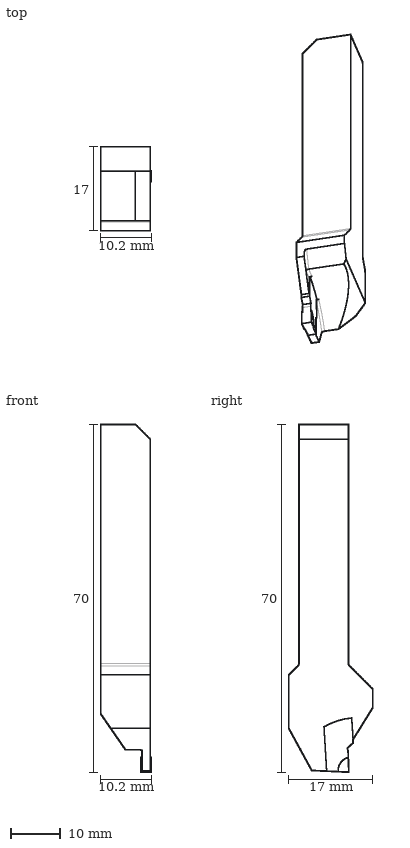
import cadquery as cq

LENGTH = 70.0
THICKNESS = 10.0
HEAD_DEPTH = 16.95

SHANK_FRONT = 2.0
SHANK_BACK = SHANK_FRONT + THICKNESS
SHANK_BOTTOM = 21.6
SHANK_CHAMFER = 3.0
SHOULDER_FILLET = 0.6

SHOULDER_FRONT_Z = SHANK_BOTTOM - SHANK_FRONT
SHOULDER_BACK_Z = SHANK_BOTTOM - (HEAD_DEPTH - SHANK_BACK)
FRONT_SLOPE_TOP = 8.8
BACK_SLOPE_TOP = 13.0
BLADE_TOE = (4.6, 0.35)
BLADE_HEEL = (12.95, 6.6)

UNDERSIDE_TOP = 11.75
UNDERSIDE_RUN = 7.1
UNDERSIDE_DROP = 10.3

BLADE_FACE_X = 8.4
WALL_RADIUS = 13.6
WALL_CENTRE = (13.9, -2.6)
WALL_FILLET = 0.5

BACK_STEP_TOP = (HEAD_DEPTH, 14.7)
BACK_STEP_BOTTOM = (15.2, 10.85)

INSERT_FACE_X = 8.25
SEAT_BACK = (12.6, 11.9)
SEAT_FRONT = (6.9, 11.9)
INSERT_TOE = (7.6, 0.2)
INSERT_TIP = (12.1, 0.0)
INSERT_FLANK = (12.0, 4.1)
INSERT_NOTCH = (11.8, 4.9)
INSERT_STEP = (12.95, 5.9)
PAD_HEIGHT = 0.15
PAD_WIDTH = 2.2
PAD_LENGTH = 3.0
PAD_ARC_POINT = (10.9, 2.45)


def prism_along_x(points, x_start, x_end):
    """Extrude a closed (Y, Z) outline from x_start to x_end."""
    plane = cq.Workplane("YZ", origin=(x_start, 0, 0))
    return plane.polyline(points).close().extrude(x_end - x_start)


def wall_cylinder(x_end):
    """Cylinder along X, from the -X face to x_end, bounded by the curved wall."""
    return cq.Workplane("YZ").center(*WALL_CENTRE).circle(WALL_RADIUS).extrude(x_end)


def tool_blank():
    """Shank, head and blade profile at full thickness."""
    blank = prism_along_x(
        [
            (SHANK_FRONT, LENGTH),
            (SHANK_FRONT, SHANK_BOTTOM),
            (0, SHOULDER_FRONT_Z),
            (0, FRONT_SLOPE_TOP),
            BLADE_TOE,
            INSERT_TOE,
            BLADE_HEEL,
            (HEAD_DEPTH, BACK_SLOPE_TOP),
            (HEAD_DEPTH, SHOULDER_BACK_Z),
            (SHANK_BACK, SHANK_BOTTOM),
            (SHANK_BACK, LENGTH),
        ],
        0,
        THICKNESS,
    )
    for y in (SHANK_FRONT, SHANK_BACK):
        corner = cq.selectors.NearestToPointSelector((THICKNESS / 2, y, SHANK_BOTTOM))
        blank = blank.edges(corner).fillet(SHOULDER_FILLET)
    return blank.faces(">Z").edges(">X").chamfer(SHANK_CHAMFER)


def underside_cutter():
    """Wedge of material removed below the sloping underside of the head."""
    slope = UNDERSIDE_DROP / UNDERSIDE_RUN
    wedge_run = UNDERSIDE_TOP / slope
    return (
        cq.Workplane("XZ")
        .polyline([(0, UNDERSIDE_TOP), (wedge_run, 0), (0, 0)])
        .close()
        .extrude(-HEAD_DEPTH)
    )


def blade_relief():
    """Material removed beside the blade, with a rounded root at the blade face."""
    return wall_cylinder(BLADE_FACE_X).faces(">X").edges().fillet(WALL_FILLET)


def back_step_relief():
    """Straight continuation of the wall, from the curved wall to the back face."""
    step_y, step_z = BACK_STEP_TOP
    run = step_y - BACK_STEP_BOTTOM[0]
    rise = step_z - BACK_STEP_BOTTOM[1]
    upper_end = (step_y + run / 2, step_z + rise / 2)
    lower_end = (BACK_STEP_BOTTOM[0] - run / 2, BACK_STEP_BOTTOM[1] - rise / 2)
    outer_corner = (upper_end[0], lower_end[1])
    cutter = prism_along_x([upper_end, lower_end, outer_corner], 0, BLADE_FACE_X)
    root_point = (BLADE_FACE_X, step_y - run / 2, step_z - rise / 2)
    root = cq.selectors.NearestToPointSelector(root_point)
    return cutter.edges(root).fillet(WALL_FILLET)


def insert_plate():
    """Insert ending at the curved wall, flush with the +X face of the blade."""
    outline = [
        SEAT_BACK,
        BLADE_HEEL,
        INSERT_STEP,
        INSERT_NOTCH,
        INSERT_FLANK,
        INSERT_TIP,
        INSERT_TOE,
        SEAT_FRONT,
    ]
    plate = prism_along_x(outline, INSERT_FACE_X, THICKNESS)
    return plate.intersect(wall_cylinder(THICKNESS))


def insert_seat():
    """Pocket through the blade and its root fillet that receives the insert."""
    outline = [SEAT_BACK, BLADE_HEEL, INSERT_TOE, SEAT_FRONT]
    pocket = prism_along_x(outline, BLADE_FACE_X - WALL_FILLET, THICKNESS)
    return pocket.intersect(wall_cylinder(THICKNESS))


def corner_pad(x_start, x_end):
    """Rounded full-width corner that makes the cutting tip wider than the insert."""
    tip_y, tip_z = INSERT_TIP
    bottom_slope = (INSERT_TOE[1] - tip_z) / (tip_y - INSERT_TOE[0])
    flank_slope = (tip_y - INSERT_FLANK[0]) / (INSERT_FLANK[1] - tip_z)
    pad_bottom = (tip_y - PAD_WIDTH, tip_z + PAD_WIDTH * bottom_slope)
    pad_top = (tip_y - PAD_LENGTH * flank_slope, tip_z + PAD_LENGTH)
    return (
        cq.Workplane("YZ", origin=(x_start, 0, 0))
        .moveTo(*INSERT_TIP)
        .lineTo(*pad_bottom)
        .threePointArc(PAD_ARC_POINT, pad_top)
        .close()
        .extrude(x_end - x_start)
    )


holder = (
    tool_blank()
    .cut(underside_cutter())
    .cut(blade_relief())
    .cut(back_step_relief())
    .cut(insert_seat())
)
insert = insert_plate().union(corner_pad(INSERT_FACE_X - PAD_HEIGHT, THICKNESS + PAD_HEIGHT))

result = cq.Compound.makeCompound([holder.solids().val(), insert.solids().val()])